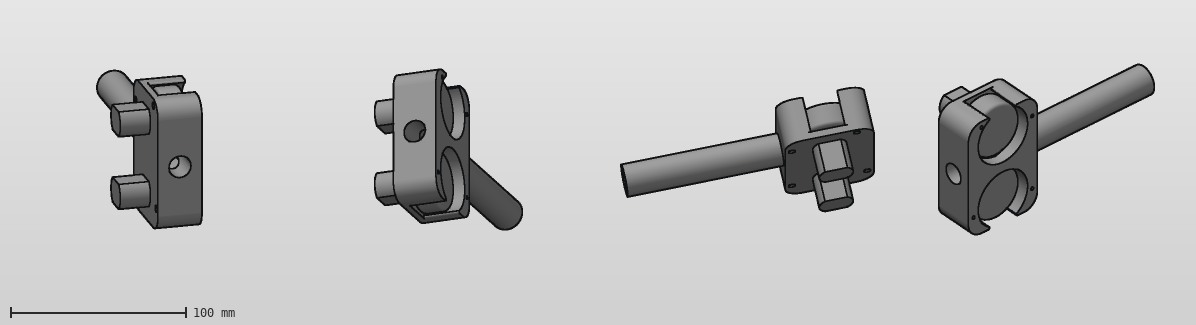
import cadquery as cq
import math

overall_length = 143.0

housing_width = 51.9
housing_depth = 26.2
housing_height = 78.1
corner_radius = 10.0
front_wall = 4.3
pocket_radius = 18.6
mouth_width = 20.0
mouth_lip_radius = 1.1

screw_diameter = 2.0
countersink_diameter = 4.0
countersink_angle = 90.0
screw_side_offset = 22.0
screw_height = 25.5
corner_screw_x = 16.0
corner_screw_z = 34.9

tube_diameter = 19.0
bore_diameter = 13.0

wheel_diameter = 35.0
wheel_width = 14.3
wheel_edge_radius = 2.1
overall_height = 79.0

pin_diameter = 20.0
pin_flat_height = 15.2
pin_projection = 17.9

front_y = -housing_depth / 2
back_y = housing_depth / 2
floor_y = front_y + front_wall
left_x = -housing_width / 2
top_z = housing_height / 2
tube_length = overall_length - housing_width
wheel_z = (overall_height - wheel_diameter) / 2
wheel_heights = (-wheel_z, wheel_z)
screw_places = [
    (-screw_side_offset, screw_height),
    (-screw_side_offset, -screw_height),
    (screw_side_offset, -screw_height),
    (corner_screw_x, corner_screw_z),
]


def y_workplane(y):
    """XZ sketch plane at the given Y; positive extrusion goes toward -Y."""
    return cq.Workplane("XZ", origin=(0, y, 0))


def make_pin(z):
    """Double-D pin standing on the front face of the housing, in line with a wheel."""
    round_bar = y_workplane(front_y).center(0, z).circle(pin_diameter / 2).extrude(pin_projection)
    flats = y_workplane(front_y).center(0, z).rect(pin_diameter, pin_flat_height).extrude(pin_projection)
    return round_bar.intersect(flats)


def make_wheel(z):
    """Solid wheel with rounded rim edges, centred across the housing depth."""
    disc = y_workplane(wheel_width / 2).center(0, z).circle(wheel_diameter / 2).extrude(wheel_width)
    return disc.edges().fillet(wheel_edge_radius)


def make_wheel_pocket(z):
    """Round wheel pocket, open at the back."""
    return y_workplane(back_y).center(0, z).circle(pocket_radius).extrude(back_y - floor_y)


def make_pocket_mouth(side):
    """Opening with rounded lips from a pocket to the top (side 1) or bottom (side -1) face."""
    inner = mouth_width / 2
    outer = inner + mouth_lip_radius
    lip_z = top_z - mouth_lip_radius
    arc_inset = mouth_lip_radius * math.sqrt(0.5)
    arc_x = outer - arc_inset
    arc_z = lip_z + arc_inset
    return (
        y_workplane(back_y)
        .moveTo(-inner, side * wheel_z)
        .lineTo(-inner, side * lip_z)
        .threePointArc((-arc_x, side * arc_z), (-outer, side * top_z))
        .lineTo(outer, side * top_z)
        .threePointArc((arc_x, side * arc_z), (inner, side * lip_z))
        .lineTo(inner, side * wheel_z)
        .close()
        .extrude(back_y - floor_y)
    )


def make_housing():
    """Rounded block with two wheel pockets, a cross bore and countersunk screw holes."""
    block = cq.Workplane("XY").box(housing_width, housing_depth, housing_height)
    block = block.edges("|Y").fillet(corner_radius)
    block = (
        block.faces("<Y")
        .workplane(origin=(0, front_y, 0))
        .pushPoints(screw_places)
        .cskHole(screw_diameter, countersink_diameter, countersink_angle)
    )
    for side in (-1, 1):
        block = block.cut(make_wheel_pocket(side * wheel_z)).cut(make_pocket_mouth(side))
    cross_bore = cq.Workplane("YZ", origin=(left_x, 0, 0)).circle(bore_diameter / 2).extrude(housing_width)
    return block.cut(cross_bore)


def make_tube():
    """Handle tube butting against the left face of the housing."""
    return (
        cq.Workplane("YZ", origin=(left_x - tube_length, 0, 0))
        .circle(tube_diameter / 2)
        .circle(bore_diameter / 2)
        .extrude(tube_length)
    )


pins = [make_pin(z) for z in wheel_heights]
wheels = [make_wheel(z) for z in wheel_heights]
housing = make_housing()
tube = make_tube()

result = cq.Compound.makeCompound(
    [housing.val(), tube.val()] + [wheel.val() for wheel in wheels] + [pin.val() for pin in pins]
)